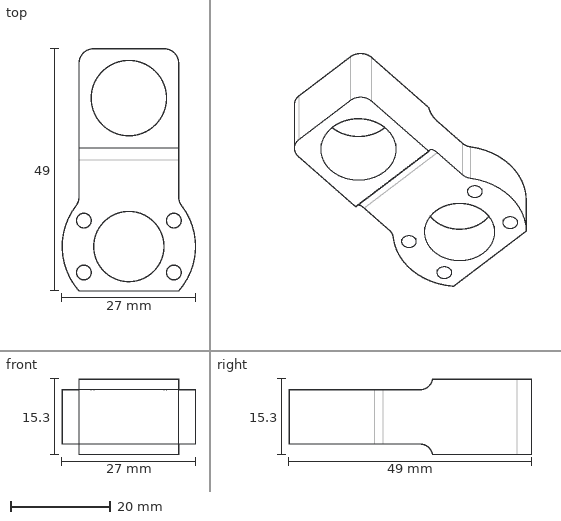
import cadquery as cq
import math

length = 49.0
block_width = 20.2
block_height = 15.3
plate_height = 11.02
disc_diameter = 27.0
flat_offset = 9.0

disc_bore = 14.15
block_bore = 15.2
bore_spacing = 30.0
screw_diameter = 2.95
screw_spacing_x = 18.2
screw_spacing_y = 10.5

corner_radius = 3.0
neck_radius = 2.75
step_radius = 2.5
block_face_length = 20.05

far_end = length - flat_offset
step_edge = far_end - block_face_length
step_depth = (block_height - plate_height) / 2
step_run = math.sqrt(step_radius**2 - (step_radius - step_depth)**2)
step_foot = step_edge - step_run


def make_bar():
    """Rectangular bar with rounded corners at the far end."""
    bar = cq.Workplane("XY").box(block_width, far_end, block_height, centered=(True, False, True))
    return bar.edges("|Z and >Y").fillet(corner_radius)


def make_disc():
    """Round end with a flat across it."""
    disc = cq.Workplane("XY").circle(disc_diameter / 2).extrude(plate_height)
    disc = disc.translate((0, 0, -plate_height / 2))
    keep = cq.Workplane("XY").box(
        disc_diameter, flat_offset + disc_diameter, plate_height, centered=(True, False, True)
    ).translate((0, -flat_offset, 0))
    return disc.intersect(keep)


def make_neck_fillet(side):
    """Concave blend tangent to the bar side and to the disc."""
    half_width = block_width / 2
    disc_radius = disc_diameter / 2
    center_x = half_width + neck_radius
    center_y = math.sqrt((disc_radius + neck_radius)**2 - center_x**2)
    ratio = disc_radius / (disc_radius + neck_radius)
    touch_x = center_x * ratio
    touch_y = center_y * ratio
    blend = (
        cq.Workplane("XY")
        .moveTo(0, center_y)
        .lineTo(side * half_width, center_y)
        .radiusArc((side * touch_x, touch_y), -side * neck_radius)
        .lineTo(0, 0)
        .close()
    )
    return blend.extrude(plate_height).translate((0, 0, -plate_height / 2))


def make_step_cut(side):
    """Space above (side 1) or below (side -1) the plate, ending in the cove."""
    foot_z = side * plate_height / 2
    face_z = side * block_height / 2
    angle = math.atan2(step_run, step_radius - step_depth) / 2
    middle_y = step_foot + step_radius * math.sin(angle)
    middle_z = foot_z + side * step_radius * (1 - math.cos(angle))
    profile = (
        cq.Workplane("YZ")
        .moveTo(-disc_diameter, foot_z)
        .lineTo(step_foot, foot_z)
        .threePointArc((middle_y, middle_z), (step_edge, face_z))
        .lineTo(-disc_diameter, face_z)
        .close()
    )
    return profile.extrude(disc_diameter, both=True)


def make_holes(diameter, points):
    """Cylinders through the full height."""
    floor = cq.Workplane("XY").workplane(offset=-block_height / 2)
    return floor.pushPoints(points).circle(diameter / 2).extrude(block_height)


body = make_bar().union(make_disc())
for side in (-1, 1):
    body = body.union(make_neck_fillet(side)).cut(make_step_cut(side))

screw_points = [
    (sx * screw_spacing_x / 2, sy * screw_spacing_y / 2) for sx in (-1, 1) for sy in (-1, 1)
]
body = body.cut(make_holes(disc_bore, [(0, 0)]))
body = body.cut(make_holes(block_bore, [(0, bore_spacing)]))
result = body.cut(make_holes(screw_diameter, screw_points))